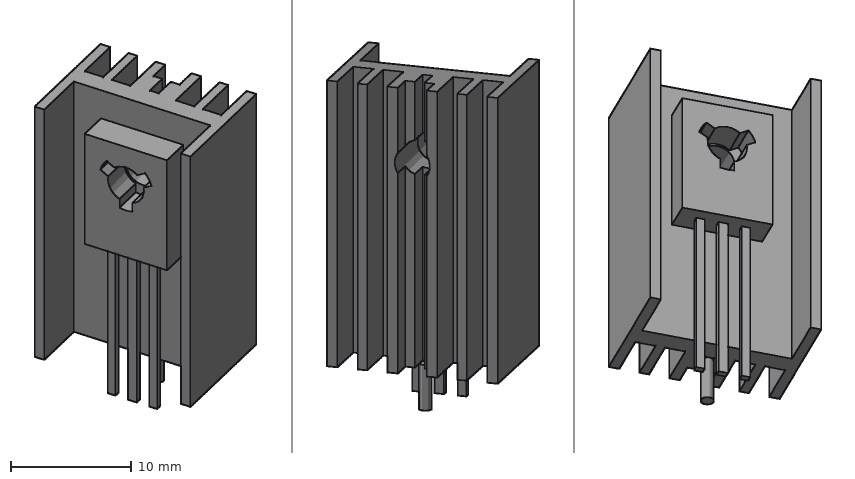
import cadquery as cq


TOTAL_HEIGHT = 29

SINK_WIDTH = 15.0
SINK_HEIGHT = 25.0
SINK_DEPTH = 10.9
FLANGE_DEPTH = 4.9
WEB_THICKNESS = 1.8
WALL_THICKNESS = 0.93
MIDDLE_FIN_THICKNESS = 0.85
FIN_GAP = 1.77
BACK_Y = SINK_DEPTH - FLANGE_DEPTH

CENTRE_RIB_BACK_Y = 4.03
SLOT_WIDTH = 0.85

PIN_DIAMETER = 1.1
PIN_LENGTH = TOTAL_HEIGHT - SINK_HEIGHT
PIN_Y = 2.55
SLOT_FLOOR_Y = PIN_Y - PIN_DIAMETER / 2

CASE_WIDTH = 7.92
CASE_HEIGHT = 11.0
CASE_DEPTH = 2.7
CASE_TOP_INSET = 2.8
CASE_TOP_Z = SINK_HEIGHT - CASE_TOP_INSET
CASE_BOTTOM_Z = CASE_TOP_Z - CASE_HEIGHT

HOLE_INSET = 3.77
HOLE_Z = CASE_TOP_Z - HOLE_INSET
SINK_HOLE_DIAMETER = 3.07
CASE_HOLE_DIAMETER = 3.45
NOTCH_COUNT = 3
NOTCH_WIDTH = 1.22
NOTCH_REACH = 2.55

LEAD_PITCH = 2.0
LEAD_LENGTH = 15.0
LEAD_THICKNESS = 0.55
OUTER_LEAD_WIDTH = 0.75
MIDDLE_LEAD_WIDTH = 0.85


def block(x_min, x_max, y_min, y_max, z_min, z_max):
    """Axis-aligned box between the given limits."""
    size = (x_max - x_min, y_max - y_min, z_max - z_min)
    return cq.Workplane("XY").box(*size, centered=False).translate((x_min, y_min, z_min))


def bore(diameter, y_min, y_max):
    """Cylinder along Y on the axis of the mounting hole."""
    circle = cq.Workplane("XZ", origin=(0, y_max, HOLE_Z)).circle(diameter / 2)
    return circle.extrude(y_max - y_min)


def make_heat_sink():
    half_width = SINK_WIDTH / 2
    wall_inner_x = half_width - WALL_THICKNESS
    middle_fin_outer_x = wall_inner_x - FIN_GAP
    middle_fin_inner_x = middle_fin_outer_x - MIDDLE_FIN_THICKNESS
    inner_fin_outer_x = middle_fin_inner_x - FIN_GAP
    inner_fin_inner_x = inner_fin_outer_x - WALL_THICKNESS

    half_profile = [
        (0, 0),
        (0, SLOT_FLOOR_Y),
        (SLOT_WIDTH / 2, SLOT_FLOOR_Y),
        (SLOT_WIDTH / 2, CENTRE_RIB_BACK_Y),
        (inner_fin_inner_x, CENTRE_RIB_BACK_Y),
        (inner_fin_inner_x, BACK_Y),
        (inner_fin_outer_x, BACK_Y),
        (inner_fin_outer_x, WEB_THICKNESS),
        (middle_fin_inner_x, WEB_THICKNESS),
        (middle_fin_inner_x, BACK_Y),
        (middle_fin_outer_x, BACK_Y),
        (middle_fin_outer_x, WEB_THICKNESS),
        (wall_inner_x, WEB_THICKNESS),
        (wall_inner_x, BACK_Y),
        (half_width, BACK_Y),
        (half_width, -FLANGE_DEPTH),
        (wall_inner_x, -FLANGE_DEPTH),
        (wall_inner_x, 0),
    ]
    right_half = cq.Workplane("XY").polyline(half_profile).close().extrude(SINK_HEIGHT)
    sink = right_half.union(right_half.mirror("YZ")).clean()
    return sink.cut(bore(SINK_HOLE_DIAMETER, 0, BACK_Y))


def make_notch(angle):
    """Radial notch through the case with an end concentric with the hole; angle 0 points down."""
    notch = block(
        -NOTCH_WIDTH / 2, NOTCH_WIDTH / 2,
        -CASE_DEPTH, 0,
        HOLE_Z - NOTCH_REACH, HOLE_Z,
    )
    notch = notch.intersect(bore(2 * NOTCH_REACH, -CASE_DEPTH, 0))
    return notch.rotate((0, 0, HOLE_Z), (0, 1, HOLE_Z), angle)


def make_lead(x, width):
    lead_y = -CASE_DEPTH / 2
    return block(
        x - width / 2, x + width / 2,
        lead_y - LEAD_THICKNESS / 2, lead_y + LEAD_THICKNESS / 2,
        CASE_BOTTOM_Z - LEAD_LENGTH, CASE_BOTTOM_Z,
    )


def make_transistor():
    half_width = CASE_WIDTH / 2
    case = block(-half_width, half_width, -CASE_DEPTH, 0, CASE_BOTTOM_Z, CASE_TOP_Z)
    case = case.cut(bore(CASE_HOLE_DIAMETER, -CASE_DEPTH, 0))
    for i in range(NOTCH_COUNT):
        case = case.cut(make_notch(i * 360 / NOTCH_COUNT))
    case = case.union(make_lead(0, MIDDLE_LEAD_WIDTH))
    for side in (-1, 1):
        case = case.union(make_lead(side * LEAD_PITCH, OUTER_LEAD_WIDTH))
    return case


def make_solder_pin():
    """Round pin standing below the slot, its top against the end of the heat sink."""
    return cq.Workplane("XY", origin=(0, PIN_Y, 0)).circle(PIN_DIAMETER / 2).extrude(-PIN_LENGTH)


heat_sink = make_heat_sink()
transistor = make_transistor()
solder_pin = make_solder_pin()

result = cq.Compound.makeCompound([heat_sink.val(), transistor.val(), solder_pin.val()])